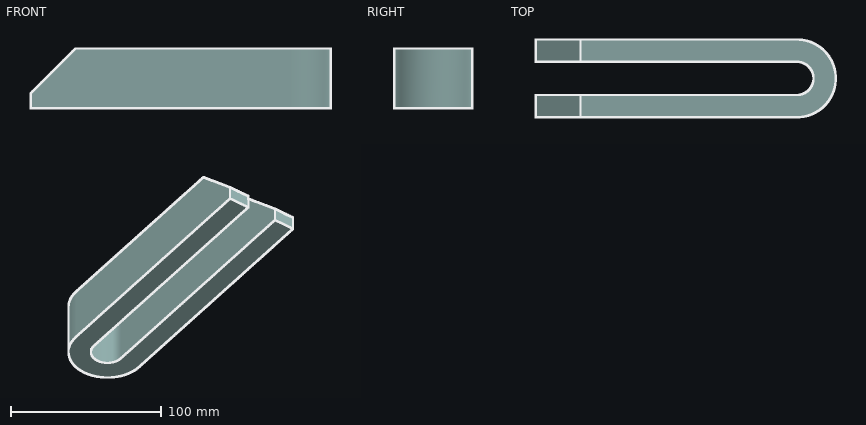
import cadquery as cq

length = 200.0
width = 52.0
height = 40.0
leg_thickness = 15.0
nose_height = 10.0
nose_slope_length = 30.0

outer_radius = width / 2
inner_radius = outer_radius - leg_thickness
bend_center_x = length - outer_radius


def round_ended_bar(radius):
    """Bar from x = 0 to the bend center, closed by a half circle of the given radius."""
    return (
        cq.Workplane("XY")
        .moveTo(0, -radius)
        .lineTo(bend_center_x, -radius)
        .threePointArc((bend_center_x + radius, 0), (bend_center_x, radius))
        .lineTo(0, radius)
        .close()
        .extrude(height)
    )


def nose_wedge():
    """Triangular prism removed above the sloped noses of both legs."""
    return (
        cq.Workplane("XZ")
        .moveTo(0, nose_height)
        .lineTo(nose_slope_length, height)
        .lineTo(0, height)
        .close()
        .extrude(outer_radius, both=True)
    )


result = round_ended_bar(outer_radius).cut(round_ended_bar(inner_radius)).cut(nose_wedge())